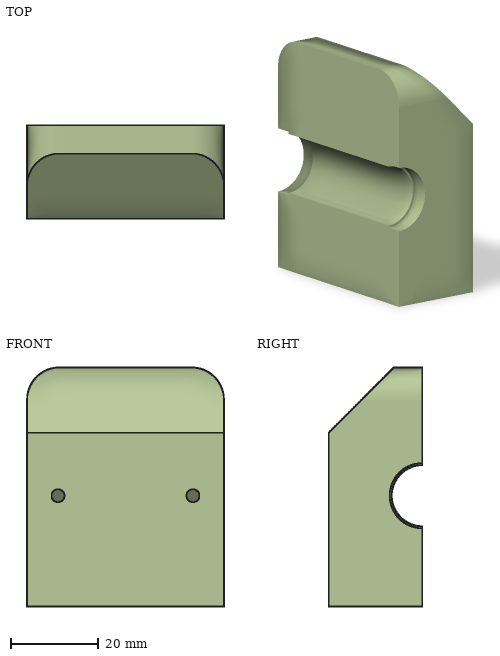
import cadquery as cq

width = 45.3
depth = 21.5
height = 55.0
corner_radius = 7.5
slope_size = 15.0

channel_height = 25.5
channel_radius = 7.0
end_recess_radius = 7.5
end_recess_length = 4.0

hole_diameter = 3.0
hole_spacing = 31.0
hole_depth = 10.0


def make_body():
    """Block with rounded upper side corners and a sloped upper front edge."""
    block = cq.Workplane("XY").box(width, depth, height, centered=(True, False, False))
    rounded = block.edges("|Y and >Z").fillet(corner_radius)
    slope = (
        cq.Workplane("YZ")
        .moveTo(0, height - slope_size)
        .lineTo(slope_size, height)
        .lineTo(0, height)
        .close()
        .extrude(width / 2, both=True)
    )
    return rounded.cut(slope)


def make_channel_cylinder(radius, start_x, length):
    """Cylinder on the channel axis, running in +X from start_x."""
    return (
        cq.Workplane("YZ", origin=(start_x, depth, channel_height))
        .circle(radius)
        .extrude(length)
    )


def cut_channel(body):
    """Cut the full-length channel and the wider recess at each end."""
    body = body.cut(make_channel_cylinder(channel_radius, -width / 2, width))
    for start_x in (-width / 2, width / 2 - end_recess_length):
        body = body.cut(make_channel_cylinder(end_recess_radius, start_x, end_recess_length))
    return body


def cut_front_holes(body):
    """Cut the pair of blind holes running in +Y from the front face."""
    holes = (
        cq.Workplane("XZ", origin=(0, 0, channel_height))
        .pushPoints([(-hole_spacing / 2, 0), (hole_spacing / 2, 0)])
        .circle(hole_diameter / 2)
        .extrude(-hole_depth)
    )
    return body.cut(holes)


result = cut_front_holes(cut_channel(make_body()))